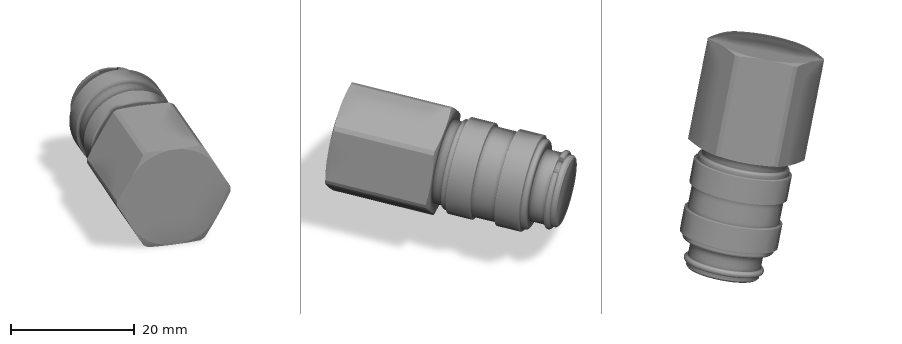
import cadquery as cq
import math

TOTAL_LENGTH = 38.15
SLEEVE_START = 4.6
SLEEVE_END = 19.08
HEX_START = 20.6

NOSE_DIA = 12.0
NOSE_FACE_DIA = 11.45
NOSE_CHAMFER = (NOSE_DIA - NOSE_FACE_DIA) / 2

WIRE_DIA = 1.03
GROOVE_DIA = 11.15
RING_MEAN_DIA = GROOVE_DIA + WIRE_DIA
RING_CENTRE_X = 1.45
RING_GAP_ANGLE = 30.0
RING_GAP_OFFSET = 2.5

SLEEVE_DIA = 15.1
SLEEVE_FILLET = 0.5
BAND_DIA = 16.15
BAND_WIDTH = 4.05
BAND_STARTS = (5.7, 13.92)
BAND_FLARE = 0.1
NECK_DIA = 14.0

HEX_SIDES = 6
HEX_ACROSS_FLATS = 16.98
HEX_CORNER_DIA = 19.15
HEX_FACE_DIA = HEX_ACROSS_FLATS
HEX_CHAMFER_ANGLE = 15.0
HEX_TILT = 0.3


def x_cylinder(start, end, dia):
    """Cylinder around the X axis from start to end."""
    return cq.Workplane("YZ").workplane(offset=start).circle(dia / 2).extrude(end - start)


def make_nose():
    """Cylindrical nose with a chamfered front and a square groove for the snap ring."""
    nose = x_cylinder(0, SLEEVE_START, NOSE_DIA).faces("<X").chamfer(NOSE_CHAMFER)
    groove_start = RING_CENTRE_X - WIRE_DIA / 2
    groove_end = RING_CENTRE_X + WIRE_DIA / 2
    groove = x_cylinder(groove_start, groove_end, NOSE_DIA).cut(
        x_cylinder(groove_start, groove_end, GROOVE_DIA)
    )
    return nose.cut(groove)


def make_band(start):
    """Raised grip band whose side faces flare out towards the sleeve."""
    end = start + BAND_WIDTH
    foot_radius = SLEEVE_DIA / 2
    return (
        cq.Workplane("XY")
        .moveTo(start - BAND_FLARE, 0)
        .lineTo(start - BAND_FLARE, foot_radius)
        .lineTo(start, BAND_DIA / 2)
        .lineTo(end, BAND_DIA / 2)
        .lineTo(end + BAND_FLARE, foot_radius)
        .lineTo(end + BAND_FLARE, 0)
        .close()
        .revolve(360, (0, 0, 0), (1, 0, 0))
    )


def make_sleeve():
    """Sleeve with rounded ends, carrying the grip bands."""
    sleeve = x_cylinder(SLEEVE_START, SLEEVE_END, SLEEVE_DIA).edges("%CIRCLE").fillet(SLEEVE_FILLET)
    for start in BAND_STARTS:
        sleeve = sleeve.union(make_band(start))
    return sleeve


def make_hexagon():
    """Hexagon with turned corners and a shallow cone on each end."""
    corner_radius = HEX_CORNER_DIA / 2
    face_radius = HEX_FACE_DIA / 2
    cone_depth = (corner_radius - face_radius) * math.tan(math.radians(HEX_CHAMFER_ANGLE))
    across_corners = HEX_ACROSS_FLATS / math.cos(math.pi / HEX_SIDES)
    prism = (
        cq.Workplane("YZ")
        .workplane(offset=HEX_START)
        .polygon(HEX_SIDES, across_corners)
        .extrude(TOTAL_LENGTH - HEX_START)
        .rotate((0, 0, 0), (1, 0, 0), HEX_TILT)
    )
    turned_blank = (
        cq.Workplane("XY")
        .moveTo(HEX_START, 0)
        .lineTo(HEX_START, face_radius)
        .lineTo(HEX_START + cone_depth, corner_radius)
        .lineTo(TOTAL_LENGTH - cone_depth, corner_radius)
        .lineTo(TOTAL_LENGTH, face_radius)
        .lineTo(TOTAL_LENGTH, 0)
        .close()
        .revolve(360, (0, 0, 0), (1, 0, 0))
    )
    return prism.intersect(turned_blank)


def make_housing():
    """Nose, sleeve, neck and hexagon as one solid."""
    neck = x_cylinder(SLEEVE_START + SLEEVE_FILLET, HEX_START, NECK_DIA)
    return make_nose().union(make_sleeve()).union(neck).union(make_hexagon())


def make_snap_ring():
    """Round wire bent into an open ring that lies on the groove floor."""
    start_angle = RING_GAP_OFFSET + RING_GAP_ANGLE / 2
    return (
        cq.Workplane("XZ")
        .center(RING_CENTRE_X, RING_MEAN_DIA / 2)
        .circle(WIRE_DIA / 2)
        .revolve(360 - RING_GAP_ANGLE, (0, -RING_MEAN_DIA / 2, 0), (1, -RING_MEAN_DIA / 2, 0))
        .rotate((0, 0, 0), (1, 0, 0), start_angle)
    )


housing = make_housing()
snap_ring = make_snap_ring()

result = cq.Compound.makeCompound([housing.solids().val(), snap_ring.val()])